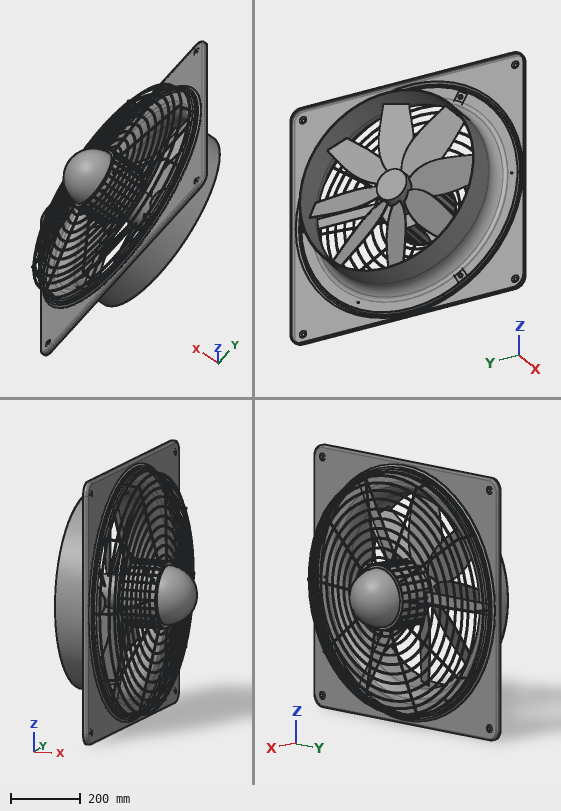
import math

import cadquery as cq


sheet = 3.0

plate_side = 765.0
plate_back = 136.0
plate_depth = 14.5
plate_corner_radius = 36.0
plate_edge_radius = 6.0
plate_face = plate_back - sheet
plate_rim_front = plate_back - plate_depth

corner_hole_offset = 347.5
corner_hole_diameter = 10.0
corner_sink_diameter = 22.0

bead_height = 7.0
bead_outer_radius = 372.0
bead_inner_radius = 354.0
bead_crown_outer_radius = 365.0
bead_crown_inner_radius = 359.0

duct_radius = 285.5
flare_radius = 46.0
flare_lip_radius = 26.0
flare_join_angle = math.radians(60)
flare_join_r = duct_radius + flare_radius * (1 - math.cos(flare_join_angle))
flare_end_r = flare_join_r + flare_lip_radius * math.cos(flare_join_angle)
flare_lip_center_x = plate_face - flare_lip_radius
flare_join_x = flare_lip_center_x + flare_lip_radius * math.sin(flare_join_angle)
duct_length = flare_join_x - flare_radius * math.sin(flare_join_angle)

blade_count = 8
blade_thickness = 3.0
blade_pitch = 28.5
blade_mid_x = 57.0
blade_root_r = 40.0
blade_tip_r = 274.0
blade_root_half = 12.0
blade_neck_r = 92.0
blade_neck_half = 43.0
blade_belly_r = 160.0
blade_belly_half = 50.5
blade_tip_half = 36.5
hub_radius = 49.0
hub_front = 29.0

motor_front = 128.0
motor_radius = 93.5
fin_count = 24
fin_radius = 98.5
fin_thickness = 3.0
fin_embed = 4.0
fin_end = 234.0
cap_flange_radius = 96.5
cap_flange_thickness = 3.0
cap_flange_end = 239.0
dome_radius = 86.0
overall_length = 324.0
dome_center_x = overall_length - dome_radius

arm_count = 3
arm_width = 32.0
arm_thickness = 4.0
arm_root_r = 80.0
arm_end_r = 350.0
fixing_r = 335.0
fixing_hole_diameter = 12.0
pilot_hole_diameter = 4.0

wire = 4.0
spoke_count = 10
spoke_foot = (140.0, 355.0)
spoke_elbow = (193.0, 343.0)
spoke_inner_r = motor_radius - 4.0
guard_slope = 0.13
ring_lift = 2.5
cone_ring_first_r = 114.0
cone_ring_pitch = 27.7
cone_ring_count = 7
edge_ring_radii = (305.0, 326.5)
side_rings = ((162.0, 352.6), (187.0, 346.0))
foot_ring_x = 149.8
foot_ring_r = 356.0
foot_ring_wire = 6.0


def revolve_x(profile):
    """Revolve a profile drawn as (x, r) in the XY plane about the X axis."""
    return profile.revolve(360, (0, 0, 0), (1, 0, 0))


def disc(x_start, x_end, radius):
    return cq.Workplane("YZ", origin=(x_start, 0, 0)).circle(radius).extrude(x_end - x_start)


def around(body, count):
    """Equally spaced copies of a body about the X axis."""
    return [body.rotate((0, 0, 0), (1, 0, 0), 360 / count * i) for i in range(count)]


def polar(radius, degrees):
    return (radius * math.cos(math.radians(degrees)), radius * math.sin(math.radians(degrees)))


def make_plate():
    plate = (
        cq.Workplane("YZ", origin=(plate_rim_front, 0, 0))
        .rect(plate_side, plate_side)
        .extrude(plate_depth)
        .edges("|X")
        .fillet(plate_corner_radius)
        .faces(">X")
        .edges()
        .fillet(plate_edge_radius)
    )
    pocket_side = plate_side - 2 * sheet
    pocket = (
        cq.Workplane("YZ", origin=(plate_rim_front, 0, 0))
        .rect(pocket_side, pocket_side)
        .extrude(plate_depth - sheet)
        .edges("|X")
        .fillet(plate_corner_radius - sheet)
        .faces(">X")
        .edges()
        .fillet(plate_edge_radius - sheet)
    )
    opening = disc(plate_rim_front, plate_back, flare_end_r)
    bead_gap = disc(plate_rim_front, plate_back, bead_outer_radius).cut(
        disc(plate_rim_front, plate_back, bead_inner_radius)
    )
    bead = revolve_x(
        cq.Workplane("XY")
        .moveTo(plate_face, bead_inner_radius)
        .lineTo(plate_face + bead_height, bead_crown_inner_radius)
        .lineTo(plate_face + bead_height, bead_crown_outer_radius)
        .lineTo(plate_face, bead_outer_radius)
        .lineTo(plate_back, bead_outer_radius)
        .lineTo(plate_back + bead_height, bead_crown_outer_radius)
        .lineTo(plate_back + bead_height, bead_crown_inner_radius)
        .lineTo(plate_back, bead_inner_radius)
        .close()
    )
    return plate.cut(pocket).cut(opening).cut(bead_gap).union(bead)


def flare_point(angle, offset):
    """Point on the main flare arc, moved toward the axis by offset."""
    radius = flare_radius + offset
    center_r = duct_radius + flare_radius
    return (duct_length + radius * math.sin(angle), center_r - radius * math.cos(angle))


def lip_point(angle, offset):
    """Point on the lip arc that turns the flare into the plate, moved toward the axis by offset."""
    radius = flare_lip_radius + offset
    return (flare_lip_center_x + radius * math.sin(angle), flare_end_r - radius * math.cos(angle))


def make_duct():
    right_angle = math.pi / 2
    flare_mid = flare_join_angle / 2
    lip_mid = (flare_join_angle + right_angle) / 2
    return revolve_x(
        cq.Workplane("XY")
        .moveTo(0, duct_radius)
        .lineTo(duct_length, duct_radius)
        .threePointArc(flare_point(flare_mid, 0), flare_point(flare_join_angle, 0))
        .threePointArc(lip_point(lip_mid, 0), lip_point(right_angle, 0))
        .lineTo(*lip_point(right_angle, sheet))
        .threePointArc(lip_point(lip_mid, sheet), lip_point(flare_join_angle, sheet))
        .threePointArc(flare_point(flare_mid, sheet), flare_point(0, sheet))
        .lineTo(0, duct_radius - sheet)
        .close()
    )


def make_impeller():
    edge = [
        (blade_neck_half, blade_neck_r),
        (blade_belly_half, blade_belly_r),
        (blade_tip_half, blade_tip_r),
    ]
    mirrored = [(-half, r) for half, r in reversed(edge)]
    blade = (
        cq.Workplane("YZ", origin=(-blade_thickness / 2, 0, 0))
        .moveTo(blade_root_half, blade_root_r)
        .spline(edge, includeCurrent=True)
        .lineTo(*mirrored[0])
        .spline(mirrored[1:] + [(-blade_root_half, blade_root_r)], includeCurrent=True)
        .close()
        .extrude(blade_thickness)
        .rotate((0, 0, 0), (0, 0, 1), blade_pitch)
        .translate((blade_mid_x, 0, 0))
    )
    return [disc(hub_front, motor_front, hub_radius)] + around(blade, blade_count)


def make_motor():
    dome_mid = dome_radius * math.sqrt(0.5)
    flange_start = cap_flange_end - cap_flange_thickness
    body = revolve_x(
        cq.Workplane("XY")
        .moveTo(motor_front, 0)
        .lineTo(motor_front, motor_radius)
        .lineTo(flange_start, motor_radius)
        .lineTo(flange_start, cap_flange_radius)
        .lineTo(cap_flange_end, cap_flange_radius)
        .lineTo(cap_flange_end, dome_radius)
        .lineTo(dome_center_x, dome_radius)
        .threePointArc((dome_center_x + dome_mid, dome_mid), (overall_length, 0))
        .close()
    )
    fin_foot_r = motor_radius - fin_embed
    fin = cq.Workplane("XY").box(
        fin_end - motor_front,
        fin_thickness,
        fin_radius - fin_foot_r,
        centered=(False, True, False),
    ).translate((motor_front, 0, fin_foot_r))
    return [body] + around(fin, fin_count)


def make_arms():
    arm = cq.Workplane("XY").box(
        arm_thickness, arm_end_r - arm_root_r, arm_width, centered=(False, False, True)
    ).translate((plate_back, arm_root_r, 0))
    return around(arm, arm_count)


def make_ring(x, radius, diameter):
    torus = cq.Solid.makeTorus(radius, diameter / 2, cq.Vector(x, 0, 0), cq.Vector(1, 0, 0))
    return cq.Workplane(obj=torus)


def spoke_x(radius):
    """X of the sloping part of a spoke at a given radius."""
    elbow_x, elbow_r = spoke_elbow
    return elbow_x + guard_slope * (elbow_r - radius)


def make_rod(start, end):
    """Round wire between two (x, r) points in the XY plane."""
    foot = cq.Vector(*start, 0)
    run = cq.Vector(*end, 0) - foot
    return cq.Solid.makeCylinder(wire / 2, run.Length, foot, run)


def make_spoke():
    inner_end = (spoke_x(spoke_inner_r), spoke_inner_r)
    elbow = cq.Workplane("XY").sphere(wire / 2).translate((*spoke_elbow, 0))
    return elbow.union(make_rod(spoke_foot, spoke_elbow)).union(make_rod(spoke_elbow, inner_end))


def make_guard():
    cone_radii = [cone_ring_first_r + cone_ring_pitch * i for i in range(cone_ring_count)]
    cone_radii += edge_ring_radii
    rings = [make_ring(spoke_x(r) + ring_lift, r, wire) for r in cone_radii]
    rings += [make_ring(x, r, wire) for x, r in side_rings]
    rings.append(make_ring(foot_ring_x, foot_ring_r, foot_ring_wire))
    return around(make_spoke(), spoke_count) + rings


def make_holes():
    """Cutter for every hole in the plate: countersunk corners, arm fixings and pilots."""
    offset = corner_hole_offset
    corners = [(y, z) for y in (-offset, offset) for z in (-offset, offset)]
    step = 360 / arm_count
    fixings = [polar(fixing_r, step * i) for i in range(arm_count)]
    pilots = [polar(fixing_r, step * (i + 0.5)) for i in range(arm_count)]
    face = cq.Workplane("YZ", origin=(plate_face, 0, 0))
    cutter = face.pushPoints(fixings).circle(fixing_hole_diameter / 2).extrude(sheet)
    cutter = cutter.add(face.pushPoints(pilots).circle(pilot_hole_diameter / 2).extrude(sheet))
    sink = cq.Solid.makeCone(
        corner_sink_diameter / 2,
        corner_hole_diameter / 2,
        sheet,
        cq.Vector(plate_face, 0, 0),
        cq.Vector(1, 0, 0),
    )
    for y, z in corners:
        cutter = cutter.add(sink.translate(cq.Vector(0, y, z)))
    return cutter.combine()


def make_fan():
    plate = make_plate().cut(make_holes())
    parts = [make_duct()] + make_motor() + make_impeller() + make_arms() + make_guard()
    return plate.val().fuse(*[part.val() for part in parts])


result = cq.Workplane(obj=make_fan().Solids()[0])